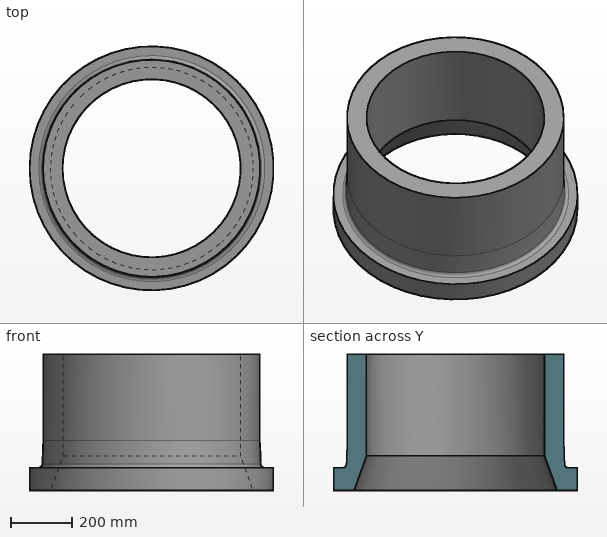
import cadquery as cq

flange_diameter = 800.0
total_height = 447.0
flange_height = 75.0

pipe_diameter = 710.0
bore_diameter = 582.0
hub_base_diameter = 717.0
hub_top = 165.0
fillet_radius = 12.0

mouth_diameter = 664.0
cone_depth = 114.0

flange_radius = flange_diameter / 2
pipe_radius = pipe_diameter / 2
bore_radius = bore_diameter / 2
hub_base_radius = hub_base_diameter / 2
mouth_radius = mouth_diameter / 2

section = (
    cq.Workplane("XZ")
    .moveTo(-mouth_radius, 0)
    .lineTo(-flange_radius, 0)
    .lineTo(-flange_radius, flange_height)
    .lineTo(-hub_base_radius - fillet_radius, flange_height)
    .radiusArc((-hub_base_radius, flange_height + fillet_radius), -fillet_radius)
    .lineTo(-pipe_radius, hub_top)
    .lineTo(-pipe_radius, total_height)
    .lineTo(-bore_radius, total_height)
    .lineTo(-bore_radius, cone_depth)
    .close()
)
result = section.revolve(360, (0, 0, 0), (0, 1, 0))